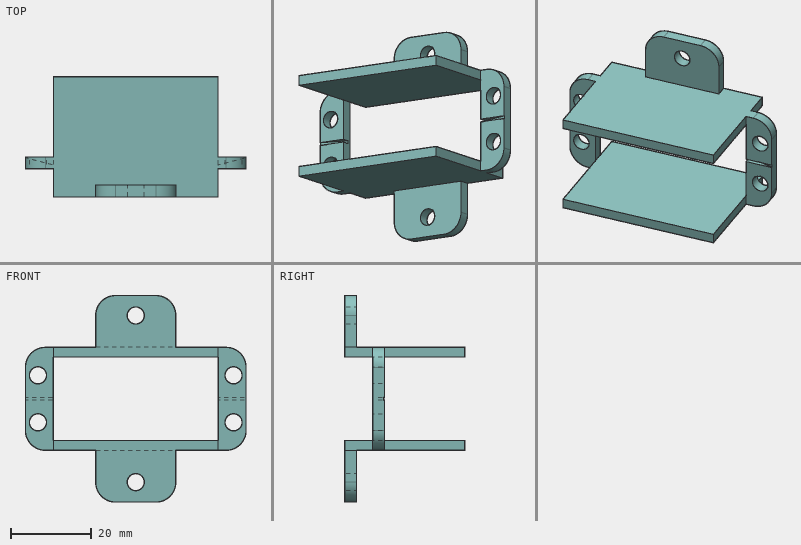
import cadquery as cq

plate_length = 41.0
plate_depth = 30.0
plate_thickness = 2.5
frame_height = 25.7

flange_thickness = 3.0
corner_radius = 5.0
hole_diameter = 4.2

overall_length = 55.0
ear_front = 7.0
ear_hole_spacing_x = 48.7
ear_hole_spacing_z = 11.7

notch_width = 0.7
notch_inner_depth = 2.0
notch_outer_depth = 0.2

overall_height = 51.5
tab_width = 20.0
tab_hole_spacing = 41.5

ear_back = ear_front + flange_thickness


def upright_slab(length, height, front):
    """Slab of flange thickness with rounded corners, centred on the Y axis."""
    return (
        cq.Workplane("XY")
        .box(length, flange_thickness, height, centered=(True, False, True))
        .edges("|Y")
        .fillet(corner_radius)
        .translate((0, front, 0))
    )


def centred_box(length, height):
    """Box running the full depth of the plates, centred in X and Z."""
    return cq.Workplane("XY").box(length, plate_depth, height, centered=(True, False, True))


def holes(points):
    """Pins along Y through the whole depth at the given (x, z) points."""
    return (
        cq.Workplane("XZ")
        .pushPoints(points)
        .circle(hole_diameter / 2)
        .extrude(-plate_depth)
    )


def make_plates():
    opening_height = frame_height - 2 * plate_thickness
    return centred_box(plate_length, frame_height).cut(centred_box(plate_length, opening_height))


def make_notch():
    """Wedge-shaped notch across the back face of the +X ear."""
    inner_x = plate_length / 2
    outer_x = overall_length / 2
    return (
        cq.Workplane("XY")
        .polyline([
            (inner_x, ear_back),
            (inner_x, ear_back - notch_inner_depth),
            (outer_x, ear_back - notch_outer_depth),
            (outer_x, ear_back),
        ])
        .close()
        .extrude(notch_width / 2, both=True)
    )


def make_ears():
    points = [
        (side * ear_hole_spacing_x / 2, level * ear_hole_spacing_z / 2)
        for side in (-1, 1)
        for level in (-1, 1)
    ]
    slab = upright_slab(overall_length, frame_height, ear_front)
    ears = slab.cut(centred_box(plate_length, frame_height)).cut(holes(points))
    notch = make_notch()
    return ears.cut(notch).cut(notch.mirror("YZ"))


def make_tabs():
    points = [(0, level * tab_hole_spacing / 2) for level in (-1, 1)]
    slab = upright_slab(tab_width, overall_height, 0)
    return slab.cut(centred_box(plate_length, frame_height)).cut(holes(points))


result = make_plates().union(make_ears()).union(make_tabs())